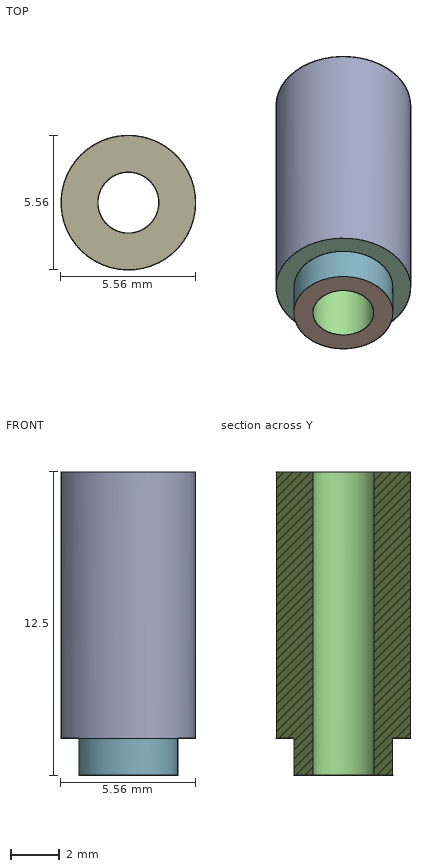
import cadquery as cq

total_length = 12.53
body_diameter = 5.56
spigot_diameter = 4.08
spigot_length = 1.53
bore_diameter = 2.5

body_length = total_length - spigot_length

spigot = cq.Workplane("XY").circle(spigot_diameter / 2).extrude(spigot_length)
body = (
    cq.Workplane("XY")
    .workplane(offset=spigot_length)
    .circle(body_diameter / 2)
    .extrude(body_length)
)

bore = cq.Workplane("XY").circle(bore_diameter / 2).extrude(total_length)

result = spigot.union(body).cut(bore)